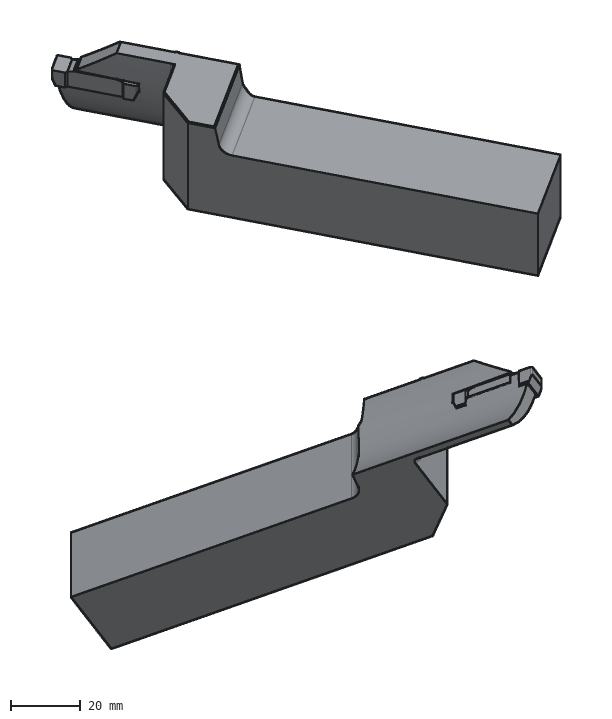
import cadquery as cq
import math

total_length = 150.0
head_height = 35.0
back_reach = 33.87

shank_size = 25.0

wall_slope = 10.0
wall_foot_x = 55.8
wall_fillet = 4.0
head_front_x = 36.0
corner_chamfer = 10.0

nose_bottom_x = 3.8
nose_top_x = 0.7
jaw_tip_x = 7.2
jaw_tip_z = 26.4
jaw_top_x = 18.9

blade_axis_z = 26.0
front_face_y = 20.8
front_radius = 37.5
back_face_y = 26.15
root_fillet = 1.0

edge_break = 0.3

blade_overlap = 2 * edge_break

cutting_z = 25.0
insert_length = 25.6
insert_bottom_z = 19.0
insert_land_z = 22.1
insert_clearance = 1.2
insert_head_length = 4.6
insert_head_width = 6.4
insert_waist_width = 5.2
insert_mid_y = 23.35
waist_rise = 0.6
waist_ramp = 1.8
head_taper = 0.5
corner_radius = 0.5

seat_front_gap = 0.35
seat_rear_gap = 0.5
seat_end_gap = 0.3

back_depth = back_reach - back_face_y
back_radius = (blade_axis_z**2 + back_depth**2) / (2 * back_depth)


def x_cylinder(crest_y, radius):
    """Cylinder along X whose lowest Y is crest_y."""
    return (
        cq.Workplane("YZ")
        .center(crest_y + radius, blade_axis_z)
        .circle(radius)
        .extrude(total_length)
    )


def step_points(height):
    """Fillet start, middle and end, then wall top, of the step from shank to head."""
    slope = math.radians(wall_slope)
    turn = math.pi / 2 - slope
    centre_x = wall_foot_x + wall_fillet * math.tan(turn / 2)
    centre_h = shank_size + wall_fillet

    def on_fillet(angle):
        return (centre_x - wall_fillet * math.sin(angle), centre_h - wall_fillet * math.cos(angle))

    wall_top = (wall_foot_x - (height - shank_size) * math.tan(slope), height)
    return on_fillet(0), on_fillet(turn / 2), on_fillet(turn), wall_top


def side_profile():
    """Outline in XZ, extruded over the whole depth in Y."""
    start, middle, end, wall_top = step_points(head_height)
    return (
        cq.Workplane("XZ")
        .moveTo(nose_bottom_x, 0)
        .lineTo(total_length, 0)
        .lineTo(total_length, shank_size)
        .lineTo(*start)
        .threePointArc(middle, end)
        .lineTo(*wall_top)
        .lineTo(jaw_top_x, head_height)
        .lineTo(jaw_tip_x, jaw_tip_z)
        .lineTo(jaw_tip_x, cutting_z)
        .lineTo(nose_top_x, cutting_z)
        .close()
        .extrude(-back_reach)
    )


def head_and_shank_plan():
    """Outline in XY of the head and shank, extruded over the head height."""
    start, middle, end, wall_top = step_points(back_reach)
    return (
        cq.Workplane("XY")
        .moveTo(head_front_x + corner_chamfer, 0)
        .lineTo(total_length, 0)
        .lineTo(total_length, shank_size)
        .lineTo(*start)
        .threePointArc(middle, end)
        .lineTo(*wall_top)
        .lineTo(head_front_x, back_reach)
        .lineTo(head_front_x, corner_chamfer)
        .close()
        .extrude(head_height)
    )


def blade_blank():
    """Blade bounded by the convex front face, reaching far enough into the head to join it."""
    length = head_front_x + blade_overlap
    block = cq.Workplane("XY").box(length, back_reach, head_height, centered=False)
    return block.intersect(x_cylinder(front_face_y, front_radius))


def root_fillet_band():
    """Fillet ring between the convex blade face and the flat head wall."""
    axis_y = front_face_y + front_radius
    root = head_front_x - root_fillet
    ring = (
        cq.Workplane("XY")
        .moveTo(root, front_face_y)
        .threePointArc(
            (
                root + root_fillet * math.sin(math.pi / 4),
                front_face_y - root_fillet * (1 - math.cos(math.pi / 4)),
            ),
            (head_front_x, front_face_y - root_fillet),
        )
        .lineTo(head_front_x, axis_y)
        .lineTo(root, axis_y)
        .close()
        .revolve(360, (0, axis_y, 0), (1, axis_y, 0))
        .translate((0, 0, blade_axis_z))
    )
    block = cq.Workplane("XY").box(head_front_x, back_reach, head_height, centered=False)
    return ring.intersect(block)


def extrude_across(points):
    """Closed XZ outline of straight sides, extruded over the whole depth in Y."""
    return cq.Workplane("XZ").polyline(points).close().extrude(-back_reach)


def insert_side():
    """Symmetric XZ outline of the insert: two nose ends and a raised waist."""
    front_half = [
        (insert_clearance, insert_bottom_z),
        (0, insert_land_z),
        (0, cutting_z),
        (insert_head_length, cutting_z),
        (insert_head_length + waist_ramp, cutting_z + waist_rise),
    ]
    rear_half = [(insert_length - x, z) for x, z in reversed(front_half)]
    return extrude_across(front_half + rear_half)


def insert_head_plan():
    """XY outline of the front head with rounded corners, tapering into the waist."""
    head_half = insert_head_width / 2
    waist_half = insert_waist_width / 2
    middle_x = insert_length / 2
    return (
        cq.Workplane("XY")
        .center(0, insert_mid_y)
        .moveTo(0, corner_radius - head_half)
        .radiusArc((corner_radius, -head_half), -corner_radius)
        .lineTo(insert_head_length - head_taper, -head_half)
        .lineTo(insert_head_length, -waist_half)
        .lineTo(middle_x, -waist_half)
        .lineTo(middle_x, waist_half)
        .lineTo(insert_head_length, waist_half)
        .lineTo(insert_head_length - head_taper, head_half)
        .lineTo(corner_radius, head_half)
        .radiusArc((0, head_half - corner_radius), -corner_radius)
        .close()
        .extrude(head_height)
    )


def build_insert():
    """Insert with two wide cutting heads joined by a narrower, taller waist."""
    front_half = insert_head_plan()
    rear_half = front_half.mirror("YZ").translate((insert_length, 0, 0))
    return front_half.union(rear_half).intersect(insert_side())


def seat_roof_gap():
    """Clearance between the insert and the underside of the jaw."""
    seat_end = insert_length + seat_end_gap
    return extrude_across(
        [
            (jaw_tip_x, insert_land_z),
            (jaw_tip_x, cutting_z + waist_rise + seat_front_gap),
            (seat_end, cutting_z + seat_rear_gap),
            (seat_end, insert_land_z),
        ]
    )


def trim_to_outline(body):
    """Trim a blank to the side outline and the concave back face."""
    return body.intersect(side_profile()).cut(x_cylinder(back_face_y, back_radius))


def build_head_and_shank():
    """Head and shank, with every top edge of the head broken."""
    body = trim_to_outline(head_and_shank_plan())
    return body.faces(">Z").edges().chamfer(edge_break)


def build_blade():
    """Blade with its root fillet; only its top back edge is broken."""
    body = trim_to_outline(blade_blank())
    body = body.faces(">Z").edges(">Y").chamfer(edge_break)
    return body.union(trim_to_outline(root_fillet_band()))


def build_holder(insert):
    """Shank, head and blade in one piece, with a seat for the insert."""
    body = build_head_and_shank().union(build_blade())
    return body.cut(seat_roof_gap()).cut(insert)


insert = build_insert()
holder = build_holder(insert)

result = cq.Compound.makeCompound([holder.val(), insert.val()])